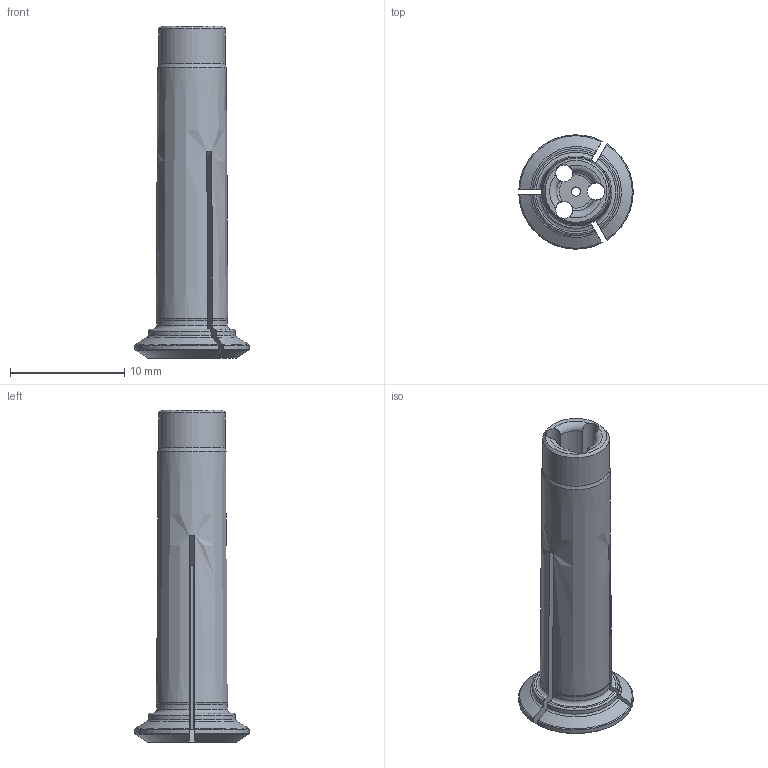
import cadquery as cq
import math

total_height = 29.0

base_radius = 3.85
flange_radius = 5.0
rim_bottom_z = 0.68
rim_top_z = 1.2
rim_edge = 0.08

collar_radius = 3.8
collar_root_z = 1.8
collar_root_fillet = 0.17
collar_top_z = 2.5
collar_top_fillet = 0.16

neck_radius = 3.1
neck_fillet = 0.37
neck_top_z = 3.3
body_bottom_radius = 3.14
body_bottom_z = 3.48
body_top_radius = 3.0
body_top_z = 25.4

tip_radius = 5.8 / 2
tip_bottom_z = 25.7
tip_chamfer_height = 0.25
tip_chamfer_width = 0.2

socket_radius = 1.69
socket_depth = 4.0
socket_lip_radius = 0.61
socket_floor_fillet = 0.24

centre_hole_diameter = 0.8
side_hole_diameter = 1.5
side_hole_circle_radius = 1.85
side_hole_circle_x = -0.1

slot_count = 3
slot_width = 0.5
slot_roof_axis_z = 15.0
slot_floor_axis_z = 1.45
slot_reach = flange_radius + 1.0

slot_spacing_angle = 360.0 / slot_count

diagonal = math.sin(math.radians(45))


def revolve(profile):
    """Turn a closed (radius, z) profile about the Z axis."""
    return profile.close().revolve(360, (0, 0, 0), (0, 1, 0))


def make_body():
    collar_shoulder_z = collar_top_z - collar_top_fillet
    collar_shoulder_radius = collar_radius - collar_top_fillet
    arc_point_inset = 1 - diagonal
    profile = (
        cq.Workplane("XZ")
        .lineTo(base_radius, 0)
        .lineTo(flange_radius - rim_edge, rim_bottom_z)
        .lineTo(flange_radius, rim_bottom_z + rim_edge)
        .lineTo(flange_radius, rim_top_z - rim_edge)
        .lineTo(flange_radius - rim_edge, rim_top_z)
        .lineTo(collar_radius + collar_root_fillet, collar_root_z)
        .threePointArc(
            (
                collar_radius + collar_root_fillet * arc_point_inset,
                collar_root_z + collar_root_fillet * arc_point_inset,
            ),
            (collar_radius, collar_root_z + collar_root_fillet),
        )
        .lineTo(collar_radius, collar_shoulder_z)
        .threePointArc(
            (
                collar_shoulder_radius + collar_top_fillet * diagonal,
                collar_shoulder_z + collar_top_fillet * diagonal,
            ),
            (collar_shoulder_radius, collar_top_z),
        )
        .lineTo(neck_radius + neck_fillet, collar_top_z)
        .threePointArc(
            (
                neck_radius + neck_fillet * arc_point_inset,
                collar_top_z + neck_fillet * arc_point_inset,
            ),
            (neck_radius, collar_top_z + neck_fillet),
        )
        .lineTo(neck_radius, neck_top_z)
        .lineTo(body_bottom_radius, body_bottom_z)
        .lineTo(body_top_radius, body_top_z)
        .lineTo(tip_radius, tip_bottom_z)
        .lineTo(tip_radius, total_height - tip_chamfer_height)
        .lineTo(tip_radius - tip_chamfer_width, total_height)
        .lineTo(0, total_height)
    )
    return revolve(profile)


def make_socket():
    """Round socket with a rounded lip and a rounded floor corner."""
    floor_z = total_height - socket_depth
    lip_centre_radius = socket_radius + socket_lip_radius
    lip_bottom_z = total_height - socket_lip_radius
    corner_centre_radius = socket_radius - socket_floor_fillet
    corner_top_z = floor_z + socket_floor_fillet
    profile = (
        cq.Workplane("XZ")
        .moveTo(0, floor_z)
        .lineTo(corner_centre_radius, floor_z)
        .threePointArc(
            (
                corner_centre_radius + socket_floor_fillet * diagonal,
                corner_top_z - socket_floor_fillet * diagonal,
            ),
            (socket_radius, corner_top_z),
        )
        .lineTo(socket_radius, lip_bottom_z)
        .threePointArc(
            (
                lip_centre_radius - socket_lip_radius * diagonal,
                lip_bottom_z + socket_lip_radius * diagonal,
            ),
            (lip_centre_radius, total_height),
        )
        .lineTo(0, total_height)
    )
    return revolve(profile)


def make_slot():
    """Slot running from the axis out along -X, opening outward above and below."""
    return (
        cq.Workplane("XZ")
        .moveTo(0, slot_floor_axis_z)
        .lineTo(-slot_reach, slot_floor_axis_z - slot_reach)
        .lineTo(-slot_reach, slot_roof_axis_z + slot_reach)
        .lineTo(0, slot_roof_axis_z)
        .close()
        .extrude(slot_width / 2, both=True)
    )


def make_holes():
    centre_hole = cq.Workplane("XY").circle(centre_hole_diameter / 2).extrude(total_height)
    side_holes = (
        cq.Workplane("XY")
        .center(side_hole_circle_x, 0)
        .polarArray(side_hole_circle_radius, 0, 360, slot_count)
        .circle(side_hole_diameter / 2)
        .extrude(total_height)
    )
    return centre_hole.union(side_holes)


result = make_body().cut(make_socket()).cut(make_holes())
for index in range(slot_count):
    slot = make_slot().rotate((0, 0, 0), (0, 0, 1), index * slot_spacing_angle)
    result = result.cut(slot)